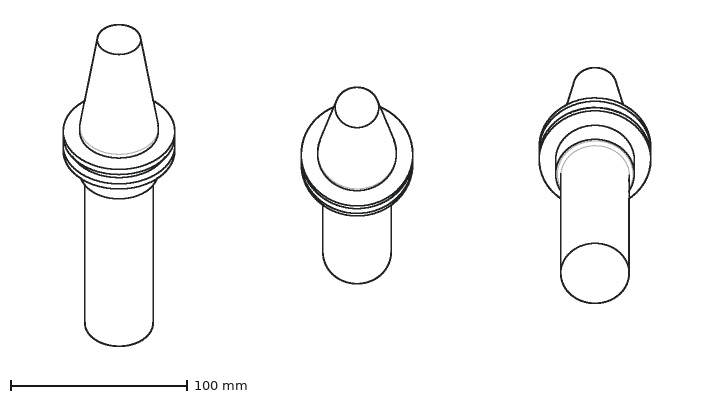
import cadquery as cq
import math

total_height = 221.2
taper_base_z = 152.9
flange_top_z = 149.8
flange_bottom_z = 134.5
collar_bottom_z = 118.0

flange_radius = 63.5 / 2
gauge_radius = 22.3
shank_radius = 19.5
root_fillet = 2.0

taper_slope = 7 / 24 / 2
taper_tip_radius = gauge_radius - (total_height - taper_base_z) * taper_slope

groove_floor_radius = 28.5
groove_width = 7.3
groove_wall_angle = 30.0


def make_shank():
    """Plain round shank reaching up to the collar."""
    return cq.Workplane("XY").circle(shank_radius).extrude(collar_bottom_z)


def make_head():
    """Revolved collar, grooved flange and steep taper."""
    groove_z = (flange_top_z + flange_bottom_z) / 2
    wall_rise = (flange_radius - groove_floor_radius) * math.tan(math.radians(groove_wall_angle))
    mouth_half = groove_width / 2
    floor_half = mouth_half - wall_rise
    profile = [
        (0, collar_bottom_z),
        (gauge_radius, collar_bottom_z),
        (gauge_radius, flange_bottom_z),
        (flange_radius, flange_bottom_z),
        (flange_radius, groove_z - mouth_half),
        (groove_floor_radius, groove_z - floor_half),
        (groove_floor_radius, groove_z + floor_half),
        (flange_radius, groove_z + mouth_half),
        (flange_radius, flange_top_z),
        (gauge_radius, flange_top_z),
        (gauge_radius, taper_base_z),
        (taper_tip_radius, total_height),
        (0, total_height),
    ]
    return cq.Workplane("XZ").polyline(profile).close().revolve(360, (0, 0), (0, 1))


def make_root_fillet():
    """Concave ring that blends the shank into the underside of the collar."""
    middle_offset = root_fillet * (1 - math.sqrt(0.5))
    return (
        cq.Workplane("XZ")
        .moveTo(shank_radius, collar_bottom_z - root_fillet)
        .threePointArc(
            (shank_radius + middle_offset, collar_bottom_z - middle_offset),
            (shank_radius + root_fillet, collar_bottom_z),
        )
        .lineTo(0, collar_bottom_z)
        .lineTo(0, collar_bottom_z - root_fillet)
        .close()
        .revolve(360, (0, 0), (0, 1))
    )


result = make_shank().union(make_root_fillet()).union(make_head())